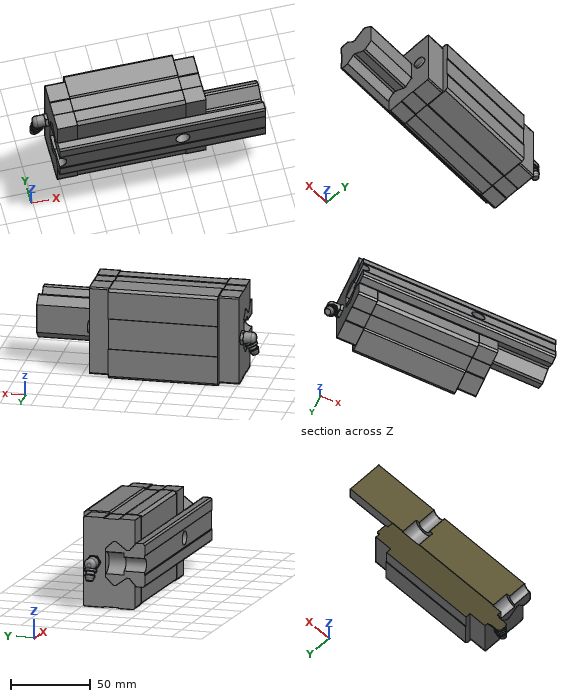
import cadquery as cq
import math


RAIL_LENGTH = 133.5
RAIL_HEIGHT = 26.2
RAIL_HALF_WIDTH = 14.2
BASE_CHAMFER = 1.2
BASE_RELIEF_HALF_WIDTH = 6.0
BASE_RELIEF_DEPTH = 0.5
FOOT_HEIGHT = 5.8
NECK_BOTTOM = 10.5
NECK_TOP = 12.2
NECK_HALF_WIDTH = 9.0
HEAD_BOTTOM = 19.3
HEAD_TOP = 21.0
CROWN_HALF_WIDTH = 9.3

HOLE_DIAMETER = 9.0
COUNTERBORE_DIAMETER = 14.2
COUNTERBORE_DEPTH = 12.2
HOLE_PITCH = 80.0
HOLE_COUNT = 2

CAP_LENGTH = 13.0
BLOCK_LENGTH = 70.4
BLOCK_BACK = 45.0
BLOCK_FRONT = 7.0
BLOCK_HALF_WIDTH = 30.0
BLOCK_BACK_CHAMFER = 1.7
BLOCK_GROOVE_HALF_WIDTH = 29.0
BLOCK_FRONT_HALF_WIDTH = 29.5
BLOCK_FRONT_CHAMFER_WIDTH = 1.7
BLOCK_FRONT_CHAMFER_HEIGHT = 2.2
BACK_RELIEF_HALF_WIDTH = 10.1
BACK_RELIEF_DEPTH = 0.5
SIDE_GROOVE_FRONT = 17.2
SIDE_GROOVE_BACK = 27.2
BLOCK_GROOVE_SLOPE = 1.0

CAP_BACK = 41.0
CAP_FRONT = 6.5
CAP_HALF_WIDTH = 29.1
CAP_BACK_CHAMFER = 0.9
CAP_FRONT_CHAMFER = 1.3
CAP_GROOVE_DEPTH = 0.5
CARRIAGE_LENGTH = BLOCK_LENGTH + 2 * CAP_LENGTH

PORT_Y = 33.9
HEX_ACROSS_FLATS = 8.0
HEX_LENGTH = 2.0
HEX_BEVEL = 0.6
ELBOW_DIAMETER = 7.8
ELBOW_REACH = 9.7
ELBOW_ROUND = 2.6
NOZZLE_TILT = 25
NOZZLE_ROOT_X = -4.6
NOZZLE_DIAMETER = 6.7
NOZZLE_NECK_DIAMETER = 5.5
COLLAR_DIAMETER = 7.8
HEAD_SHOULDER_DIAMETER = 5.2
NOZZLE_TIP_DIAMETER = 4.2
COLLAR_START = 3.5
COLLAR_END = 5.6
HEAD_START = 7.4
HEAD_TAPER_START = 8.3
HEAD_SHOULDER = 9.9
NOZZLE_TIP = 11.3
NOZZLE_BEVEL = 0.5
PLUG_LENGTH = 2.0
PLUG_ROUND = 0.6


def prism_along_x(profile, start, length):
    """Extrude an outline of (Y, Z) points along +X."""
    return cq.Workplane("YZ").workplane(offset=start).polyline(profile).close().extrude(length)


def mirrored(upper):
    """Close an outline: the +Z half, followed by its mirror image."""
    return upper + [(y, -z) for y, z in reversed(upper)]


def rail_bar():
    upper = [
        (BASE_RELIEF_DEPTH, BASE_RELIEF_HALF_WIDTH),
        (0, BASE_RELIEF_HALF_WIDTH + BASE_RELIEF_DEPTH),
        (0, RAIL_HALF_WIDTH - BASE_CHAMFER),
        (BASE_CHAMFER, RAIL_HALF_WIDTH),
        (FOOT_HEIGHT, RAIL_HALF_WIDTH),
        (NECK_BOTTOM, NECK_HALF_WIDTH),
        (NECK_TOP, NECK_HALF_WIDTH),
        (HEAD_BOTTOM, RAIL_HALF_WIDTH),
        (HEAD_TOP, RAIL_HALF_WIDTH),
        (RAIL_HEIGHT, CROWN_HALF_WIDTH),
    ]
    return prism_along_x(mirrored(upper), 0, RAIL_LENGTH)


def bolt_hole(x):
    """Through hole along Y with a counterbore sunk from the rail crown."""
    crown = cq.Workplane("XZ", origin=(x, RAIL_HEIGHT, 0))
    through = crown.circle(HOLE_DIAMETER / 2).extrude(RAIL_HEIGHT)
    counterbore = crown.circle(COUNTERBORE_DIAMETER / 2).extrude(COUNTERBORE_DEPTH)
    return through.union(counterbore)


def make_rail():
    rail = rail_bar()
    for i in range(HOLE_COUNT):
        rail = rail.cut(bolt_hole(i * HOLE_PITCH))
    return rail


def carriage_block():
    upper = [
        (BLOCK_FRONT, BLOCK_FRONT_HALF_WIDTH - BLOCK_FRONT_CHAMFER_WIDTH),
        (BLOCK_FRONT + BLOCK_FRONT_CHAMFER_HEIGHT, BLOCK_FRONT_HALF_WIDTH),
        (SIDE_GROOVE_FRONT, BLOCK_FRONT_HALF_WIDTH),
        (SIDE_GROOVE_FRONT, BLOCK_GROOVE_HALF_WIDTH),
        (SIDE_GROOVE_BACK, BLOCK_GROOVE_HALF_WIDTH),
        (SIDE_GROOVE_BACK + BLOCK_GROOVE_SLOPE, BLOCK_HALF_WIDTH),
        (BLOCK_BACK - BLOCK_BACK_CHAMFER, BLOCK_HALF_WIDTH),
        (BLOCK_BACK, BLOCK_HALF_WIDTH - BLOCK_BACK_CHAMFER),
        (BLOCK_BACK, BACK_RELIEF_HALF_WIDTH),
        (BLOCK_BACK - BACK_RELIEF_DEPTH, BACK_RELIEF_HALF_WIDTH),
    ]
    return prism_along_x(mirrored(upper), CAP_LENGTH, BLOCK_LENGTH)


def end_cap(start):
    groove_half_width = CAP_HALF_WIDTH - CAP_GROOVE_DEPTH
    side = [
        (SIDE_GROOVE_FRONT, CAP_HALF_WIDTH),
        (SIDE_GROOVE_FRONT + CAP_GROOVE_DEPTH, groove_half_width),
        (SIDE_GROOVE_BACK, groove_half_width),
        (SIDE_GROOVE_BACK + CAP_GROOVE_DEPTH, CAP_HALF_WIDTH),
        (CAP_BACK - CAP_BACK_CHAMFER, CAP_HALF_WIDTH),
        (CAP_BACK, CAP_HALF_WIDTH - CAP_BACK_CHAMFER),
    ]
    front = [
        (CAP_FRONT + CAP_FRONT_CHAMFER, -CAP_HALF_WIDTH),
        (CAP_FRONT, CAP_FRONT_CHAMFER - CAP_HALF_WIDTH),
        (CAP_FRONT, CAP_HALF_WIDTH),
    ]
    return prism_along_x(mirrored(side) + front, start, CAP_LENGTH)


def nozzle():
    """Revolved grease head, tilted about the elbow axis."""
    shank_radius = NOZZLE_DIAMETER / 2
    neck_radius = NOZZLE_NECK_DIAMETER / 2
    collar_radius = COLLAR_DIAMETER / 2
    profile = [
        (0, 0),
        (shank_radius, 0),
        (shank_radius, -COLLAR_START),
        (collar_radius - NOZZLE_BEVEL, -COLLAR_START),
        (collar_radius, -COLLAR_START - NOZZLE_BEVEL),
        (collar_radius, -COLLAR_END + NOZZLE_BEVEL),
        (collar_radius - NOZZLE_BEVEL, -COLLAR_END),
        (neck_radius, -COLLAR_END),
        (neck_radius, -HEAD_START),
        (shank_radius - NOZZLE_BEVEL, -HEAD_START),
        (shank_radius, -HEAD_START - NOZZLE_BEVEL),
        (shank_radius, -HEAD_TAPER_START),
        (HEAD_SHOULDER_DIAMETER / 2, -HEAD_SHOULDER),
        (NOZZLE_TIP_DIAMETER / 2, -NOZZLE_TIP),
        (0, -NOZZLE_TIP),
    ]
    upright = cq.Workplane("XZ").polyline(profile).close().revolve(360, (0, 0, 0), (0, 1, 0))
    tilted = upright.rotate((0, 0, 0), (0, 1, 0), NOZZLE_TILT)
    return tilted.translate((NOZZLE_ROOT_X, PORT_Y, 0))


def grease_nipple():
    """Hexagon foot with corners towards +Y and -Y, an elbow and a nozzle."""
    port = cq.Workplane("YZ", origin=(0, PORT_Y, 0))
    hex_corner_diameter = HEX_ACROSS_FLATS / math.cos(math.radians(30))
    bevel_envelope = port.circle(hex_corner_diameter / 2).extrude(-HEX_LENGTH)
    bevel_envelope = bevel_envelope.faces("<X").chamfer(HEX_BEVEL)
    foot = port.polygon(6, hex_corner_diameter).extrude(-HEX_LENGTH).intersect(bevel_envelope)
    elbow = port.circle(ELBOW_DIAMETER / 2).extrude(-ELBOW_REACH).faces("<X").edges().fillet(ELBOW_ROUND)
    return foot.union(elbow).union(nozzle())


def plug():
    face = cq.Workplane("YZ", origin=(CARRIAGE_LENGTH, PORT_Y, 0))
    return face.circle(ELBOW_DIAMETER / 2).extrude(PLUG_LENGTH).faces(">X").edges().fillet(PLUG_ROUND)


def make_carriage():
    carriage = carriage_block()
    for start in (0, CAP_LENGTH + BLOCK_LENGTH):
        carriage = carriage.union(end_cap(start))
    carriage = carriage.cut(rail_bar())
    return carriage.union(grease_nipple()).union(plug())


rail = make_rail()
carriage = make_carriage()
result = cq.Compound.makeCompound([rail.val(), *carriage.vals()])